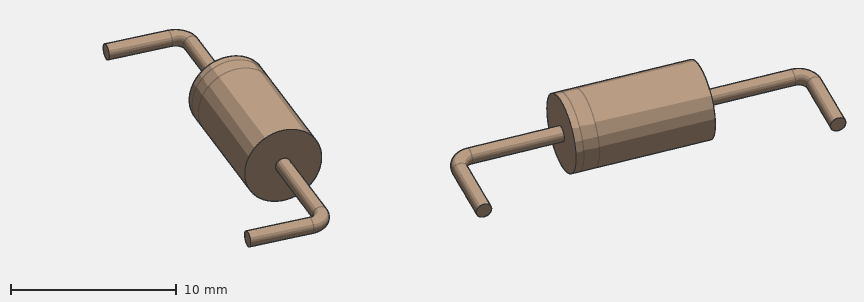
import cadquery as cq

overall_length = 23.85
body_length = 9.0
body_diameter = 5.0
band_margin = 0.5
band_width = 1.0
lead_diameter = 1.0
bend_radius = lead_diameter
overall_depth = 7.6

lead_end_x = (overall_length - lead_diameter) / 2
lead_tip_y = body_diameter / 2 - overall_depth


def make_body():
    """Body in three flush sections: end margin, polarity band and the rest."""
    rest_length = body_length - band_margin - band_width
    body = cq.Workplane("YZ", origin=(-body_length / 2, 0, 0))
    for section_length in (band_margin, band_width, rest_length):
        body = body.circle(body_diameter / 2).extrude(section_length, clean=False)
        body = body.faces(">X").workplane()
    return body


def make_lead():
    """One continuous wire through the body, with a rounded bend at each end."""
    straight_end_x = lead_end_x - bend_radius
    centre_line = (
        cq.Workplane("XY")
        .moveTo(-lead_end_x, lead_tip_y)
        .lineTo(-lead_end_x, -bend_radius)
        .radiusArc((-straight_end_x, 0), bend_radius)
        .lineTo(straight_end_x, 0)
        .radiusArc((lead_end_x, -bend_radius), bend_radius)
        .lineTo(lead_end_x, lead_tip_y)
    )
    tip_plane = cq.Plane(origin=(-lead_end_x, lead_tip_y, 0), xDir=(1, 0, 0), normal=(0, 1, 0))
    return cq.Workplane(tip_plane).circle(lead_diameter / 2).sweep(centre_line)


result = make_body().union(make_lead(), clean=False)